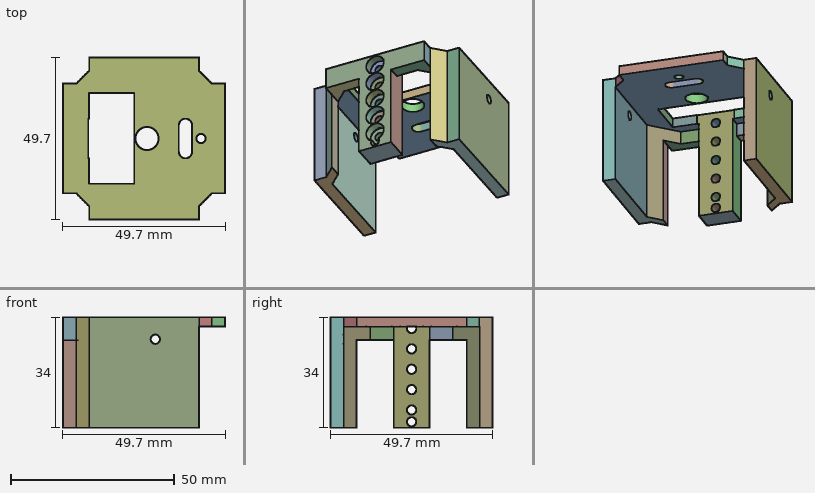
import cadquery as cq

size = 49.7
height = 34.0
half_size = size / 2
plate_thickness = 3.0

arm_half_width = 16.85
corner_step = 4.1
bevel_position = half_size - corner_step

wall_thickness = 4.05
wall_inner = half_size - wall_thickness
lip_length = 4.15
lip_inner = bevel_position - lip_length
bend_run = wall_inner - arm_half_width
skirt_depth = 7.05
post_width = 11.0

window_length = 13.8
window_width = 27.75
relief_depth = 0.2
relief_width = 12.15
window_start = -arm_half_width
post_depth = half_size - arm_half_width

small_diameter = 2.8
large_hole_diameter = 7.0
large_hole_x = 0.9
slot_x = 12.65
slot_width = 4.0
slot_length = 12.1
end_hole_x = 17.45

counterbore_diameter = 6.0
counterbore_depth = 3.0
row_count = 5
row_first_z = -3.55
row_last_z = -28.5
row_pitch = (row_first_z - row_last_z) / (row_count - 1)
lowest_hole_z = -32.1

cross_hole_x = 3.45
cross_hole_z = -6.8


def hanging_box(x_start, length, width, depth):
    """Box centred on y = 0, hanging down from the top face."""
    box = cq.Workplane("XY").box(length, width, depth, centered=(False, True, False))
    return box.translate((x_start, 0, -depth))


def make_plate():
    corner = [
        (half_size, arm_half_width),
        (bevel_position, arm_half_width),
        (arm_half_width, bevel_position),
        (arm_half_width, half_size),
    ]
    outline = []
    for quarter in range(4):
        outline += corner
        corner = [(-y, x) for x, y in corner]
    return cq.Workplane("XY").polyline(outline).close().extrude(-plate_thickness)


def make_side_wall():
    """The +Y wall, with its -X end bent inwards along the corner bevel."""
    outline = [
        (arm_half_width, half_size),
        (-arm_half_width, half_size),
        (-arm_half_width, bevel_position),
        (-bevel_position, arm_half_width),
        (-lip_inner, arm_half_width),
        (-lip_inner + bend_run, wall_inner),
        (arm_half_width, wall_inner),
    ]
    return cq.Workplane("XY").polyline(outline).close().extrude(-height)


def make_skirt():
    """Short -X wall, thickened at both ends by the inner corner bevels."""
    bevel_end_y = lip_inner + arm_half_width - wall_inner
    outline = [
        (-half_size, -arm_half_width),
        (-lip_inner, -arm_half_width),
        (-wall_inner, -bevel_end_y),
        (-wall_inner, bevel_end_y),
        (-lip_inner, arm_half_width),
        (-half_size, arm_half_width),
    ]
    return cq.Workplane("XY").polyline(outline).close().extrude(-skirt_depth)


def x_hole(diameter, z, depth):
    """Cylinder running in +X from the outer face of the post."""
    return cq.Workplane("YZ", origin=(-half_size, 0, z)).circle(diameter / 2).extrude(depth)


side_wall = make_side_wall()
skirt = make_skirt()
post = hanging_box(-half_size, post_depth, post_width, height)
result = make_plate().union(side_wall).union(side_wall.mirror("XZ")).union(skirt).union(post)

result = result.cut(hanging_box(window_start, window_length, window_width, plate_thickness))
result = result.cut(hanging_box(window_start - relief_depth, window_length, relief_width, height))

plate_holes = ((large_hole_x, large_hole_diameter), (end_hole_x, small_diameter))
for hole_x, diameter in plate_holes:
    hole = cq.Workplane("XY").center(hole_x, 0).circle(diameter / 2).extrude(-plate_thickness)
    result = result.cut(hole)
slot = cq.Workplane("XY").center(slot_x, 0).slot2D(slot_length, slot_width, 90)
result = result.cut(slot.extrude(-plate_thickness))

for index in range(row_count):
    hole_z = row_first_z - index * row_pitch
    result = result.cut(x_hole(small_diameter, hole_z, post_depth))
    result = result.cut(x_hole(counterbore_diameter, hole_z, counterbore_depth))
result = result.cut(x_hole(small_diameter, lowest_hole_z, post_depth))

cross_hole = cq.Workplane("XZ", origin=(cross_hole_x, 0, cross_hole_z))
result = result.cut(cross_hole.circle(small_diameter / 2).extrude(half_size, both=True))